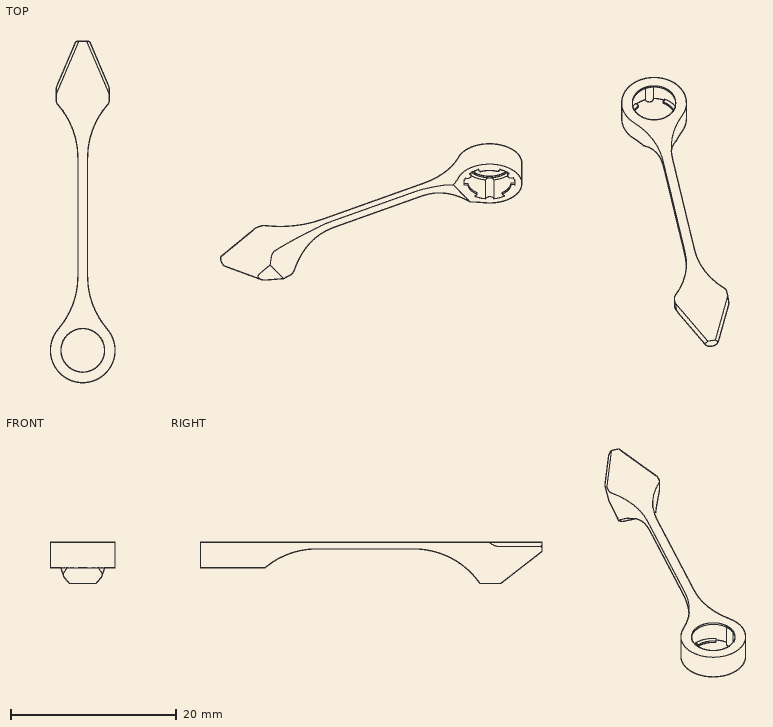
import cadquery as cq
import math

length = 41.4
height = 5.0

ring_radius = 3.95
ring_height = 3.1
hole_diameter = 5.25
lip_thickness = 0.25
bore_radius = 3.1
grip_count = 3
first_rib_angle = 30.0
rib_radius = 0.5
catch_height = 0.25
catch_angle = 50.0

rod_width = 1.2
rod_thickness = 0.83
flare_radius = 9.75
ring_flare_start = 8.95
head_flare_start = 23.35
ring_arch_start = 10.15
head_arch_start = 21.95


def arc_offset(distance):
    """Sideways offset of a flare arc at a distance from its tangent start."""
    return flare_radius - math.sqrt(flare_radius**2 - distance**2)


def arc_distance(offset):
    """Distance from the tangent start at which a flare arc reaches an offset."""
    return math.sqrt(flare_radius**2 - (flare_radius - offset) ** 2)


tip_y = length - ring_radius
tip_thickness = 1.1
head_half_width = 3.25
head_flare_end = head_flare_start + arc_distance(head_half_width - rod_width / 2)
head_widest_end = 31.85
tip_half_width = 0.83
ridge_depth = 0.5
upper_bevel = 0.35
lower_bevel = 2.25
heel_start = 32.45
shoulder_radius = 0.75
tip_corner_radius = 0.37
bevel_edge_radius = 0.83


def half_plan():
    """Vertical extrusion of the +X half of the rod and head outline."""
    half_rod = rod_width / 2
    touch_x, touch_y = ring_contact()
    ring_mid = (ring_flare_start - touch_y) / 2
    head_span = head_flare_end - head_flare_start
    head_mid = head_span / 2
    outline = (
        cq.Workplane("XY")
        .moveTo(0, 0)
        .lineTo(touch_x, touch_y)
        .threePointArc(
            (half_rod + arc_offset(ring_mid), ring_flare_start - ring_mid),
            (half_rod, ring_flare_start),
        )
        .lineTo(half_rod, head_flare_start)
        .threePointArc(
            (half_rod + arc_offset(head_mid), head_flare_start + head_mid),
            (head_half_width, head_flare_end),
        )
        .lineTo(head_half_width, head_widest_end)
        .lineTo(tip_half_width, tip_y)
        .lineTo(0, tip_y)
        .close()
    )
    return outline.extrude(-height)


def ring_contact():
    """Point on the ring, facing the flare arc centre, where the two arcs are tangent."""
    centre_x = rod_width / 2 + flare_radius
    angle = math.atan2(ring_flare_start, centre_x)
    return ring_radius * math.cos(angle), ring_radius * math.sin(angle)


def side_body():
    """Side profile of the rod and head, wide enough to cover the whole part."""
    ring_drop = ring_height - rod_thickness
    head_drop = height - rod_thickness
    ring_reach = arc_distance(ring_drop)
    head_reach = arc_distance(head_drop)
    profile = (
        cq.Workplane("YZ")
        .moveTo(0, 0)
        .lineTo(0, -ring_height)
        .lineTo(ring_arch_start - ring_reach, -ring_height)
        .threePointArc(
            (ring_arch_start - ring_reach / 2, -rod_thickness - arc_offset(ring_reach / 2)),
            (ring_arch_start, -rod_thickness),
        )
        .lineTo(head_arch_start, -rod_thickness)
        .threePointArc(
            (head_arch_start + head_reach / 2, -rod_thickness - arc_offset(head_reach / 2)),
            (head_arch_start + head_reach, -height),
        )
        .lineTo(heel_start, -height)
        .lineTo(tip_y, -tip_thickness)
        .lineTo(tip_y, 0)
        .close()
    )
    return profile.extrude(ring_radius, both=True)


def bevel_prism():
    """Long prism whose outer ridge runs along the +X side of the arrow head."""
    ridge_direction = cq.Vector(
        head_half_width - tip_half_width, head_widest_end - tip_y, 0
    )
    section = cq.Plane(
        origin=(tip_half_width, tip_y, 0),
        xDir=(-ridge_direction.y, ridge_direction.x, 0),
        normal=ridge_direction.toTuple(),
    )
    inner = -length
    return (
        cq.Workplane(section)
        .polyline(
            [
                (inner, 0),
                (-upper_bevel, 0),
                (0, -ridge_depth),
                (-lower_bevel, -height),
                (inner, -height),
            ]
        )
        .close()
        .extrude(length, both=True)
    )


def round_edge(body, point, radius):
    """Fillet the edge of a body that lies closest to a point."""
    return body.edges(cq.selectors.NearestToPointSelector(point)).fillet(radius)


def rod_and_head():
    """Rod with its flares and the bevelled, rounded arrow head."""
    mid_z = -height / 2
    shoulder = (head_half_width, head_flare_end, mid_z)
    half = round_edge(half_plan(), shoulder, shoulder_radius)
    half = round_edge(half, (tip_half_width, tip_y, mid_z), tip_corner_radius)
    half = half.intersect(bevel_prism())
    wall_z = -ridge_depth - (head_widest_end - head_flare_end)
    half = round_edge(half, (head_half_width, head_flare_end, wall_z), bevel_edge_radius)
    half = half.intersect(side_body())
    slope_edge_x = tip_half_width - lower_bevel * tip_thickness / height
    slope_middle = (slope_edge_x, (tip_y + heel_start) / 2, -(tip_thickness + height) / 2)
    half = round_edge(half, slope_middle, bevel_edge_radius)
    return half.union(half.mirror("YZ"))


def ring_bore():
    """Cutter for the lipped bore, leaving ribs and catches on its wall."""
    lip_hole = cq.Workplane("XY").circle(hole_diameter / 2).extrude(-ring_height)
    bore = cq.Workplane("XY").workplane(offset=-lip_thickness).circle(bore_radius)
    bore = bore.extrude(lip_thickness - ring_height)
    spacing = 360 / grip_count
    rib_ring = hole_diameter / 2 + rib_radius
    ribs = (
        cq.Workplane("XY")
        .polarArray(rib_ring, first_rib_angle, 360, grip_count)
        .circle(rib_radius)
        .extrude(-ring_height)
    )
    bore = bore.cut(ribs)
    reach = 2 * bore_radius
    side = reach * math.tan(math.radians(catch_angle / 2))
    catch = (
        cq.Workplane("XY")
        .workplane(offset=-ring_height)
        .polyline([(0, 0), (reach, -side), (reach, side)])
        .close()
        .extrude(catch_height)
    )
    for index in range(grip_count):
        angle = first_rib_angle + (index + 0.5) * spacing
        bore = bore.cut(catch.rotate((0, 0, 0), (0, 0, 1), angle))
    return lip_hole.union(bore)


ring = cq.Workplane("XY").circle(ring_radius).extrude(-ring_height)
result = rod_and_head().union(ring).cut(ring_bore())